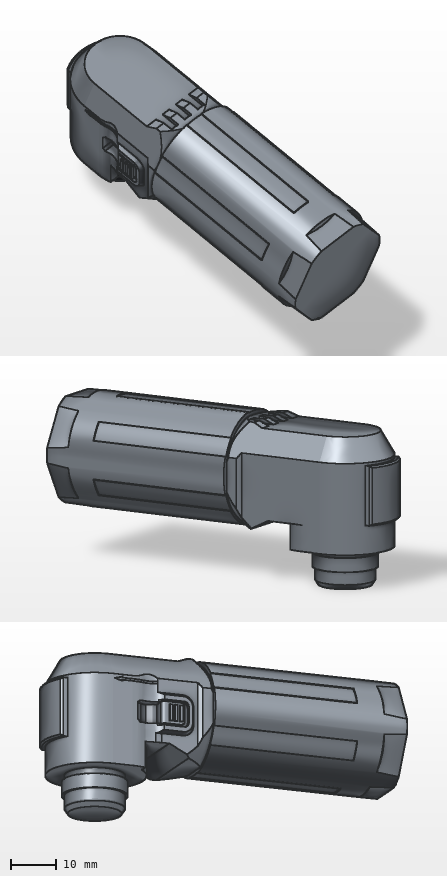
import cadquery as cq
import math


body_radius = 11.0
body_bottom_z = -15.3
shoulder_z = 5.4
top_z = 10.8
side_lean = 30.0
foot_radius = 11.5
foot_flat_end_x = 4.65
foot_step_x = 7.9
underside_z = -9.3
underside_ramp_x = 13.4
underside_ramp_run_per_drop = 2.0

neck_end_x = 23.65
neck_half_width = 11.7
neck_start_x = 20.2
neck_ramp_length = 0.9
neck_top_z = 11.8
neck_bottom_z = -11.85
neck_end_radius = 12.2
neck_cone_drop = 0.25
neck_cone_angle = 30.0
top_ramp_start_x = 16.75
top_ramp_end_x = 19.2
rib_slot_width = 2.0
rib_slot_pitch = 4.05
rib_slot_end_x = 21.7

sleeve_radius = 13.0
sleeve_end_x = 69.45
groove_count = 6
groove_width = 4.5
groove_depth = 0.25
groove_end_x = 57.85
flat_count = 6
flats_start_x = 64.0
flat_start_distance = 12.25
flat_end_distance = 12.03
step_cone_length = 3.0
step_cone_slope = 1.5
nib_size = 0.3
nib_reach = 0.15
nib_angle = -117.5

spigot_radius = 6.8
collar_radius = 7.35
collar_top_z = -16.75
collar_bottom_z = -19.95
nose_break_z = -22.5
nose_chamfer_z = -22.9
nose_shoulder_radius = 6.75
nose_radius = 6.0
spigot_bottom_z = -24.05

plate_radius = 12.2
plate_half_width = 6.3
plate_top_z = 4.75
plate_bottom_z = -8.8
plate_chamfer = 0.4

latch_z = -2.5
scoop_radius = 4.6
scoop_center_x = 8.5
scoop_center_y = -15.1
scoop_start_x = 7.1
lower_scoop_start_x = 7.9
pad_top_y = -12.0
pad_start_x = 8.5
pad_end_x = 19.2
pad_half_height = 4.7
pad_slope = 0.65
pad_corner = 2.7
well_start_x = 10.0
well_end_x = 17.7
well_half_height = 2.95
well_corner = 1.2
well_floor_y = -11.1
recess_start_x = 5.9
recess_end_x = 11.3
recess_half_height = 2.5
recess_corner = 0.6
recess_floor_y = -7.7
hinge_start_x = 7.65
hinge_low_x = 9.1
hinge_top_x = 10.4
hinge_top_y = -8.5
hinge_end_y = -8.8
hinge_floor_y = -8.3
hinge_bend_radius = 2.5
lever_end_x = 16.7
lever_corner = 0.8
lever_root = 0.5
lever_front_round = 1.0
ridge_half_height = 1.85
ridge_first_x = 13.3
ridge_count = 3
ridge_pitch = 1.24
ridge_width = 0.65
ridge_top_y = -12.5
notch_start_x = 10.2
notch_end_x = 11.6
notch_height = 2.1
notch_depth = 0.15

arrow_tip_x = 0.4
arrow_head_x = 2.2
arrow_end_x = 10.6
arrow_z = 4.4
arrow_half_head = 0.5
arrow_half_width = 0.25
arrow_height = 0.15
arrow_root_y = -10.0

lean_slope = math.tan(math.radians(side_lean))
margin = 3.0


def box(x_range, y_range, z_range):
    sizes = [high - low for low, high in (x_range, y_range, z_range)]
    corner = (x_range[0], y_range[0], z_range[0])
    return cq.Workplane("XY").box(*sizes, centered=False).translate(corner)


def revolve_about_x(points):
    return cq.Workplane("XY").polyline(points).close().revolve(360, (0, 0, 0), (1, 0, 0))


def side_rectangle(x_start, x_end, half_height, inner_y, outer_y):
    """Rectangular block on the -Y side, centred on the latch height."""
    z_range = (latch_z - half_height, latch_z + half_height)
    return box((x_start, x_end), (outer_y, inner_y), z_range)


def body_plan(z, back_x):
    return (
        cq.Workplane("XY", origin=(0, 0, z))
        .moveTo(back_x, -body_radius)
        .lineTo(0, -body_radius)
        .threePointArc((-body_radius, 0), (0, body_radius))
        .lineTo(back_x, body_radius)
        .close()
    )


def make_foot():
    """Lower part of the elbow, with its back rounded in plan."""
    height = underside_z - body_bottom_z
    base = cq.Workplane("XY", origin=(0, 0, body_bottom_z))
    front = base.circle(body_radius).extrude(height)
    middle = body_plan(body_bottom_z, foot_flat_end_x).extrude(height)
    rounding = base.center(foot_flat_end_x, 0).circle(body_radius).extrude(height)
    limit = box((0, foot_step_x), (-body_radius, body_radius), (body_bottom_z, underside_z))
    back = base.circle(foot_radius).extrude(height)
    back_limit = box((foot_step_x, foot_radius), (-foot_radius, foot_radius), (body_bottom_z, underside_z))
    return front.union(middle).union(rounding.intersect(limit)).union(back.intersect(back_limit))


def make_neck():
    """Wider section of the body next to the sleeve, with leaning upper sides."""
    wide_x = neck_start_x + neck_ramp_length
    plan = [
        (neck_start_x, -body_radius),
        (wide_x, -neck_half_width),
        (neck_end_x, -neck_half_width),
        (neck_end_x, neck_half_width),
        (wide_x, neck_half_width),
        (neck_start_x, body_radius),
    ]
    height = neck_top_z - neck_bottom_z
    block = cq.Workplane("XY", origin=(0, 0, neck_bottom_z)).polyline(plan).close().extrude(height)
    lean_start_z = shoulder_z - (neck_half_width - body_radius) / lean_slope
    top_half_width = body_radius - (neck_top_z - shoulder_z) * lean_slope
    section = [
        (-neck_half_width, neck_bottom_z),
        (neck_half_width, neck_bottom_z),
        (neck_half_width, lean_start_z),
        (top_half_width, neck_top_z),
        (-top_half_width, neck_top_z),
        (-neck_half_width, lean_start_z),
    ]
    return block.intersect(cq.Workplane("YZ").polyline(section).close().extrude(neck_end_x))


def make_body():
    """Elbow head and neck."""
    long_back_x = neck_end_x + 2 * margin
    straight = body_plan(neck_bottom_z, long_back_x).extrude(shoulder_z - neck_bottom_z)
    leaning = body_plan(shoulder_z, long_back_x).extrude(neck_top_z - shoulder_z, taper=side_lean)
    underside_ramp_end_x = underside_ramp_x + underside_ramp_run_per_drop * (underside_z - neck_bottom_z)
    side_outline = [
        (-body_radius, underside_z),
        (underside_ramp_x, underside_z),
        (underside_ramp_end_x, neck_bottom_z),
        (neck_end_x, neck_bottom_z),
        (neck_end_x, neck_top_z),
        (top_ramp_end_x, neck_top_z),
        (top_ramp_start_x, top_z),
        (-body_radius, top_z),
    ]
    side = cq.Workplane("XZ").polyline(side_outline).close().extrude(body_radius, both=True)
    body = straight.union(leaning).intersect(side).union(make_neck())

    cone_length = neck_end_x + body_radius
    cone_start_radius = neck_end_radius + cone_length * math.tan(math.radians(neck_cone_angle))
    cone = revolve_about_x([
        (-body_radius, 0),
        (-body_radius, cone_start_radius),
        (neck_end_x, neck_end_radius),
        (neck_end_x, 0),
    ])
    body = body.intersect(cone.translate((0, 0, -neck_cone_drop)))
    for index in (-1, 0, 1):
        center_y = index * rib_slot_pitch
        y_range = (center_y - rib_slot_width / 2, center_y + rib_slot_width / 2)
        body = body.cut(box((top_ramp_start_x, rib_slot_end_x), y_range, (top_z, neck_top_z)))
    return body


def make_spigot():
    profile = [
        (0, body_bottom_z),
        (spigot_radius, body_bottom_z),
        (spigot_radius, collar_top_z),
        (collar_radius, collar_top_z),
        (collar_radius, collar_bottom_z),
        (spigot_radius, collar_bottom_z),
        (spigot_radius, nose_break_z),
        (nose_shoulder_radius, nose_chamfer_z),
        (nose_radius, spigot_bottom_z),
        (0, spigot_bottom_z),
    ]
    return cq.Workplane("XZ").polyline(profile).close().revolve(360, (0, 0, 0), (0, 1, 0))


def make_sleeve():
    """Grooved sleeve whose far end carries six slightly tilted flats."""
    start = cq.Workplane("YZ", origin=(neck_end_x, 0, 0))
    sleeve = start.circle(sleeve_radius).extrude(flats_start_x - neck_end_x)
    groove_length = groove_end_x - neck_end_x
    ring = start.circle(sleeve_radius + margin).circle(sleeve_radius - groove_depth).extrude(groove_length)
    strip_y = (-groove_width / 2, groove_width / 2)
    strip = box((neck_end_x, groove_end_x), strip_y, (0, sleeve_radius + margin))
    groove = ring.intersect(strip)
    for index in range(groove_count):
        sleeve = sleeve.cut(groove.rotate((0, 0, 0), (1, 0, 0), index * 360 / groove_count))

    end_length = sleeve_end_x - flats_start_x
    flat_tilt = math.degrees(math.atan((flat_start_distance - flat_end_distance) / end_length))
    hexagon = (
        cq.Workplane("YZ", origin=(flats_start_x, 0, 0))
        .polygon(flat_count, 2 * flat_start_distance, circumscribed=True)
        .extrude(end_length, taper=flat_tilt)
        .rotate((0, 0, 0), (1, 0, 0), 180 / flat_count)
    )
    step_cone = revolve_about_x([
        (flats_start_x, 0),
        (flats_start_x, sleeve_radius),
        (flats_start_x + step_cone_length, sleeve_radius - step_cone_length * step_cone_slope),
        (flats_start_x + step_cone_length, 0),
    ])
    rim = cq.Workplane("YZ", origin=(flats_start_x, 0, 0)).circle(sleeve_radius).extrude(end_length)
    return sleeve.union(rim.intersect(hexagon.union(step_cone)))


def make_nib():
    """Tiny nib on the rim of the sleeve's far end."""
    center_radius = sleeve_radius - nib_size / 2
    center_y = center_radius * math.cos(math.radians(nib_angle))
    center_z = center_radius * math.sin(math.radians(nib_angle))
    nib = cq.Workplane("YZ", origin=(sleeve_end_x - nib_reach, center_y, center_z))
    return nib.rect(nib_size, nib_size).extrude(2 * nib_reach)


def make_front_plate():
    height = plate_top_z - plate_bottom_z
    disc = cq.Workplane("XY", origin=(0, 0, plate_bottom_z)).circle(plate_radius).extrude(height)
    y_range = (-plate_half_width, plate_half_width)
    plate = disc.intersect(box((-plate_radius, 0), y_range, (plate_bottom_z, plate_top_z)))
    return plate.faces("<X").edges().chamfer(plate_chamfer)


def make_pad():
    """Raised pad around the latch, with sloping rim."""
    length = pad_end_x - pad_start_x
    center_x = (pad_start_x + pad_end_x) / 2
    outline = (
        cq.Workplane("XZ", origin=(center_x, -body_radius, latch_z))
        .sketch()
        .rect(length, 2 * pad_half_height)
        .vertices(">X")
        .fillet(pad_corner)
        .finalize()
    )
    height = -body_radius - pad_top_y
    return outline.extrude(height, taper=math.degrees(math.atan(pad_slope / height)))


def make_scoop(start_x, bottom_z, height):
    """Vertical finger scoop: a convex round up to start_x, then a concave one."""
    outer_y = scoop_center_y - margin
    start_dx = start_x - foot_flat_end_x
    middle_dx = start_dx / 2
    start_y = -math.sqrt(body_radius**2 - start_dx**2)
    middle_y = -math.sqrt(body_radius**2 - middle_dx**2)
    scoop_deepest = (scoop_center_x, scoop_center_y + scoop_radius)
    scoop_end = (scoop_center_x + scoop_radius, scoop_center_y)
    return (
        cq.Workplane("XY", origin=(0, 0, bottom_z))
        .moveTo(foot_flat_end_x, -body_radius)
        .threePointArc((foot_flat_end_x + middle_dx, middle_y), (start_x, start_y))
        .threePointArc(scoop_deepest, scoop_end)
        .lineTo(scoop_end[0], outer_y)
        .lineTo(foot_flat_end_x, outer_y)
        .close()
        .extrude(height)
    )


def make_arrow(scoop):
    """Raised arrow that follows the side wall and dips into the scoop."""
    arrow = (
        cq.Workplane("XZ", origin=(0, arrow_root_y, 0))
        .moveTo(arrow_tip_x, arrow_z)
        .lineTo(arrow_head_x, arrow_z + arrow_half_head)
        .lineTo(arrow_head_x, arrow_z + arrow_half_width)
        .lineTo(arrow_end_x, arrow_z + arrow_half_width)
        .lineTo(arrow_end_x, arrow_z - arrow_half_width)
        .lineTo(arrow_head_x, arrow_z - arrow_half_width)
        .lineTo(arrow_head_x, arrow_z - arrow_half_head)
        .close()
        .extrude(arrow_root_y + body_radius + arrow_height)
    )
    return arrow.cut(scoop.translate((0, -arrow_height, 0)))


def make_latch_openings():
    """Well in the pad and the deeper recess in front of it."""
    well = side_rectangle(well_start_x, well_end_x, well_half_height, well_floor_y, pad_top_y - margin)
    well = well.edges("|Y and >X").fillet(well_corner)
    recess = side_rectangle(
        recess_start_x, recess_end_x, recess_half_height, recess_floor_y, pad_top_y - margin
    )
    recess = recess.edges("|Y and <X").chamfer(recess_corner)
    return well.union(recess)


def make_lever():
    """Latch lever: hinge hollow, button and grip ridges."""
    button = side_rectangle(recess_end_x, lever_end_x, recess_half_height, recess_floor_y, pad_top_y)
    button = button.edges("|Y and >X").fillet(lever_corner)
    button = button.edges("<X and <Y").fillet(lever_front_round)
    buried_x = recess_start_x - lever_root
    buried_y = recess_floor_y + lever_root
    hinge = (
        cq.Workplane("XY", origin=(0, 0, latch_z))
        .moveTo(buried_x, buried_y)
        .lineTo(buried_x, hinge_floor_y)
        .lineTo(hinge_start_x, hinge_floor_y)
        .radiusArc((hinge_low_x, recess_floor_y), hinge_bend_radius)
        .lineTo(hinge_top_x, hinge_top_y)
        .lineTo(recess_end_x, hinge_end_y)
        .lineTo(recess_end_x, buried_y)
        .close()
        .extrude(recess_half_height, both=True)
    )
    lever = button.union(hinge)
    for index in range(ridge_count):
        start_x = ridge_first_x + index * ridge_pitch - ridge_width / 2
        ridge = side_rectangle(start_x, start_x + ridge_width, ridge_half_height, pad_top_y, ridge_top_y)
        lever = lever.union(ridge)
    return lever


def make_notch():
    """Shallow notch in the side wall below the pad."""
    y_range = (-body_radius - margin, -body_radius + notch_depth)
    return box((notch_start_x, notch_end_x), y_range, (underside_z, underside_z + notch_height))


upper_scoop = make_scoop(scoop_start_x, latch_z, top_z - latch_z)
lower_scoop = make_scoop(lower_scoop_start_x, underside_z, latch_z - underside_z)

result = make_body().union(make_pad()).cut(upper_scoop).cut(lower_scoop)
result = result.union(make_arrow(upper_scoop))
result = result.cut(make_latch_openings()).cut(make_notch())
result = result.union(make_lever()).union(make_foot()).union(make_front_plate())
result = result.union(make_spigot()).union(make_sleeve()).union(make_nib())